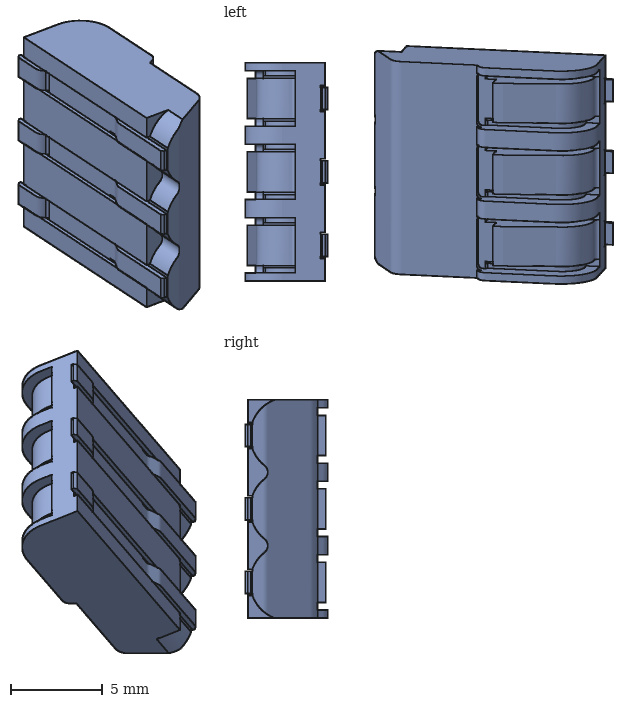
import cadquery as cq
import math


POLE_PITCH = 4.0
POLE_CENTRES = [-POLE_PITCH, 0.0, POLE_PITCH]
HEIGHT = 11.9
HALF_HEIGHT = HEIGHT / 2
HIGH_TOP = 4.35
LOW_TOP = 3.8
LENGTH = 12.67
REAR_RADIUS = 2.0
SLANT = math.radians(60)
STEP_FOOT_X = 6.38
STEP_RADIUS = 0.5
SLANT_FOOT_Y = 0.95
SHOULDER_RADIUS = 0.8
SLANT_FOOT_RADIUS = 0.5

BAY_WIDTH = 3.0
BAY_FLOOR = 1.61
BAY_CORNER_RADIUS = 0.24
LEVER_CENTRE_X = 2.0
LEVER_CENTRE_Y = 2.0
LEVER_RADIUS = 1.75
LEVER_WIDTH = 2.2
LEVER_TOP = 4.25
LEVER_RAMP = math.radians(10)
LEVER_BACK_X = 5.4
LEVER_FOOT_RADIUS = 0.2
LEDGE_WIDTH = 0.27
LEDGE_RADIUS = 1.25
SLOT_TOP = 3.36
SLOT_BACK_X = 6.0

NOSE_X = 11.06
NOSE_LOW = 0.11
NOSE_RADIUS = 2.08
VALLEY_HALF_WIDTH = 0.37

CHANNEL_WIDTH = 1.41
CHANNEL_DEPTH = 0.236
TERMINAL_WIDTH = 1.22
TERMINAL_FACE = -0.15
TERMINAL_REAR_X = -0.43
TAB_TOP = 0.14
TAB_CHAMFER = 0.15
TAB_BEND_LENGTH = 0.2
REAR_FLAT_END_X = 1.27
REAR_BEND_RADIUS = 0.61
REAR_BEND_ANGLE = math.radians(58)
REAR_TERMINAL_END_X = 1.99
FRONT_TERMINAL_START_X = 7.47
FRONT_LEVEL_END_X = 7.85
FRONT_LEVEL_END_Y = 0.2
FRONT_RAMP_START_X = 8.04
FRONT_FLAT_START_X = 8.80
FRONT_BEND_RADIUS = 0.57
FRONT_BEND_ANGLE = math.radians(25)

CLEARANCE = 1.0


def block(x_start, x_end, y_start, y_end, z_centre, width):
    """Box between the given X and Y limits, centred on z_centre."""
    size = (x_end - x_start, y_end - y_start, width)
    return cq.Workplane("XY").box(*size, centered=(False, False, True)).translate((x_start, y_start, z_centre))


def plate(outline, z_centre, width):
    """Extrude an XY outline to a plate centred on z_centre."""
    return outline.extrude(width / 2, both=True).translate((0, 0, z_centre))


def round_edge(solid, x, y, radius):
    """Fillet the Z-direction edge passing through (x, y)."""
    reach = 0.01
    box = cq.selectors.BoxSelector(
        (x - reach, y - reach, -HALF_HEIGHT), (x + reach, y + reach, HALF_HEIGHT)
    )
    return solid.edges(box).fillet(radius)


def make_housing():
    step_x = STEP_FOOT_X - (HIGH_TOP - LOW_TOP) / math.tan(SLANT)
    shoulder_x = LENGTH - (LOW_TOP - SLANT_FOOT_Y) / math.tan(SLANT)
    outline = (
        cq.Workplane("XY")
        .moveTo(0, 0)
        .lineTo(LENGTH, 0)
        .lineTo(LENGTH, SLANT_FOOT_Y)
        .lineTo(shoulder_x, LOW_TOP)
        .lineTo(STEP_FOOT_X, LOW_TOP)
        .lineTo(step_x, HIGH_TOP)
        .lineTo(0, HIGH_TOP)
        .close()
    )
    housing = plate(outline, 0, HEIGHT)
    housing = round_edge(housing, 0, HIGH_TOP, REAR_RADIUS)
    housing = round_edge(housing, step_x, HIGH_TOP, STEP_RADIUS)
    housing = round_edge(housing, shoulder_x, LOW_TOP, SHOULDER_RADIUS)
    return round_edge(housing, LENGTH, SLANT_FOOT_Y, SLANT_FOOT_RADIUS)


def make_bay(z_centre):
    """Empty bay around a lever; its front corners are rounded up to the low top."""
    bay = block(-CLEARANCE, STEP_FOOT_X, BAY_FLOOR, HIGH_TOP + CLEARANCE, z_centre, BAY_WIDTH)
    bay = bay.faces(">X").edges("|Y").fillet(BAY_CORNER_RADIUS)
    return bay.union(block(0, STEP_FOOT_X, LOW_TOP, HIGH_TOP + CLEARANCE, z_centre, BAY_WIDTH))


def make_ledges(z_centre):
    """Rounded ledges along both bay walls, rising to the slot's front block."""
    rear_x = LEVER_CENTRE_X - LEDGE_RADIUS
    ledge_top = LEVER_CENTRE_Y + LEDGE_RADIUS
    ramp_x = SLOT_BACK_X - (SLOT_TOP - ledge_top)
    diagonal = LEDGE_RADIUS * math.sqrt(0.5)
    outline = (
        cq.Workplane("XY")
        .moveTo(rear_x, BAY_FLOOR)
        .lineTo(rear_x, LEVER_CENTRE_Y)
        .threePointArc(
            (LEVER_CENTRE_X - diagonal, LEVER_CENTRE_Y + diagonal), (LEVER_CENTRE_X, ledge_top)
        )
        .lineTo(ramp_x, ledge_top)
        .lineTo(SLOT_BACK_X, SLOT_TOP)
        .lineTo(SLOT_BACK_X, BAY_FLOOR)
        .close()
    )
    slot = block(0, SLOT_BACK_X, BAY_FLOOR, HIGH_TOP, z_centre, BAY_WIDTH - 2 * LEDGE_WIDTH)
    ledges = plate(outline, z_centre, BAY_WIDTH).cut(slot)
    front_block = block(SLOT_BACK_X, STEP_FOOT_X, BAY_FLOOR, SLOT_TOP, z_centre, BAY_WIDTH)
    return ledges.union(front_block)


def make_lever(z_centre):
    """Push lever: rounded rear, a shallow ramp above it and a small fillet at its foot."""
    rear_x = LEVER_CENTRE_X - LEVER_RADIUS
    crown_y = LEVER_CENTRE_Y + LEVER_RADIUS
    ramp_end_x = LEVER_CENTRE_X + (LEVER_TOP - crown_y) / math.tan(LEVER_RAMP)
    diagonal = LEVER_RADIUS * math.sqrt(0.5)
    foot_diagonal = LEVER_FOOT_RADIUS * (1 - math.sqrt(0.5))
    outline = (
        cq.Workplane("XY")
        .moveTo(rear_x - LEVER_FOOT_RADIUS, BAY_FLOOR)
        .threePointArc(
            (rear_x - foot_diagonal, BAY_FLOOR + foot_diagonal),
            (rear_x, BAY_FLOOR + LEVER_FOOT_RADIUS),
        )
        .lineTo(rear_x, LEVER_CENTRE_Y)
        .threePointArc(
            (LEVER_CENTRE_X - diagonal, LEVER_CENTRE_Y + diagonal), (LEVER_CENTRE_X, crown_y)
        )
        .lineTo(ramp_end_x, LEVER_TOP)
        .lineTo(LEVER_BACK_X, LEVER_TOP)
        .lineTo(LEVER_BACK_X, SLOT_TOP)
        .lineTo(STEP_FOOT_X, SLOT_TOP)
        .lineTo(STEP_FOOT_X, BAY_FLOOR)
        .close()
    )
    return plate(outline, z_centre, LEVER_WIDTH)


def make_nose_cutter():
    """Space below the nose: one convex arc per pole, joined by concave valley arcs."""
    centre_y = NOSE_LOW + NOSE_RADIUS
    joint_offset = POLE_PITCH / 2 - VALLEY_HALF_WIDTH
    joint_angle = math.asin(joint_offset / NOSE_RADIUS)
    joint_y = centre_y - NOSE_RADIUS * math.cos(joint_angle)
    valley_radius = VALLEY_HALF_WIDTH / math.sin(joint_angle)
    valley_y = joint_y + valley_radius * (1 - math.cos(joint_angle))
    end_offset = HALF_HEIGHT - POLE_PITCH
    end_y = centre_y - math.sqrt(NOSE_RADIUS**2 - end_offset**2)

    outline = cq.Workplane("YZ").moveTo(-CLEARANCE, -HALF_HEIGHT).lineTo(end_y, -HALF_HEIGHT)
    for z in POLE_CENTRES[:-1]:
        outline = outline.threePointArc((NOSE_LOW, z), (joint_y, z + joint_offset))
        next_joint_z = z + POLE_PITCH - joint_offset
        outline = outline.threePointArc((valley_y, z + POLE_PITCH / 2), (joint_y, next_joint_z))
    outline = outline.threePointArc((NOSE_LOW, POLE_CENTRES[-1]), (end_y, HALF_HEIGHT))
    outline = outline.lineTo(-CLEARANCE, HALF_HEIGHT).close()
    return outline.extrude(LENGTH + CLEARANCE - NOSE_X).translate((NOSE_X, 0, 0))


def make_rear_terminal(z_centre):
    """Solder tab at the rear, curving up into its channel."""
    half_angle = REAR_BEND_ANGLE / 2
    bend_centre_y = TERMINAL_FACE + REAR_BEND_RADIUS
    bend_middle = (
        REAR_FLAT_END_X + REAR_BEND_RADIUS * math.sin(half_angle),
        bend_centre_y - REAR_BEND_RADIUS * math.cos(half_angle),
    )
    bend_end = (
        REAR_FLAT_END_X + REAR_BEND_RADIUS * math.sin(REAR_BEND_ANGLE),
        bend_centre_y - REAR_BEND_RADIUS * math.cos(REAR_BEND_ANGLE),
    )
    outline = (
        cq.Workplane("XY")
        .moveTo(TERMINAL_REAR_X, TAB_TOP)
        .lineTo(TERMINAL_REAR_X, TERMINAL_FACE + TAB_CHAMFER)
        .lineTo(TERMINAL_REAR_X + TAB_CHAMFER, TERMINAL_FACE)
        .lineTo(REAR_FLAT_END_X, TERMINAL_FACE)
        .threePointArc(bend_middle, bend_end)
        .lineTo(REAR_TERMINAL_END_X, CHANNEL_DEPTH)
        .lineTo(TAB_BEND_LENGTH, CHANNEL_DEPTH)
        .lineTo(0, TAB_TOP)
        .close()
    )
    return plate(outline, z_centre, TERMINAL_WIDTH)


def make_front_terminal(z_centre):
    """Solder tab at the front, ramping down out of its channel to reach below the nose."""
    half_angle = FRONT_BEND_ANGLE / 2
    bend_centre_y = TERMINAL_FACE + FRONT_BEND_RADIUS
    bend_start = (
        FRONT_FLAT_START_X - FRONT_BEND_RADIUS * math.sin(FRONT_BEND_ANGLE),
        bend_centre_y - FRONT_BEND_RADIUS * math.cos(FRONT_BEND_ANGLE),
    )
    bend_middle = (
        FRONT_FLAT_START_X - FRONT_BEND_RADIUS * math.sin(half_angle),
        bend_centre_y - FRONT_BEND_RADIUS * math.cos(half_angle),
    )
    ramp_length = bend_start[0] - FRONT_RAMP_START_X
    ramp_start = (FRONT_RAMP_START_X, bend_start[1] + ramp_length * math.tan(FRONT_BEND_ANGLE))
    outline = (
        cq.Workplane("XY")
        .moveTo(LENGTH, TAB_TOP)
        .lineTo(LENGTH, TERMINAL_FACE + TAB_CHAMFER)
        .lineTo(LENGTH - TAB_CHAMFER, TERMINAL_FACE)
        .lineTo(FRONT_FLAT_START_X, TERMINAL_FACE)
        .threePointArc(bend_middle, bend_start)
        .lineTo(*ramp_start)
        .tangentArcPoint((FRONT_LEVEL_END_X, FRONT_LEVEL_END_Y), relative=False)
        .lineTo(FRONT_TERMINAL_START_X, CHANNEL_DEPTH)
        .lineTo(NOSE_X - TAB_BEND_LENGTH, CHANNEL_DEPTH)
        .lineTo(NOSE_X, TAB_TOP)
        .close()
    )
    return plate(outline, z_centre, TERMINAL_WIDTH)


result = make_housing().cut(make_nose_cutter())
for pole_z in POLE_CENTRES:
    channel = block(-CLEARANCE, LENGTH + CLEARANCE, -CLEARANCE, CHANNEL_DEPTH, pole_z, CHANNEL_WIDTH)
    result = result.cut(make_bay(pole_z)).cut(channel)
    result = result.union(make_ledges(pole_z)).union(make_lever(pole_z))
    result = result.union(make_rear_terminal(pole_z)).union(make_front_terminal(pole_z))